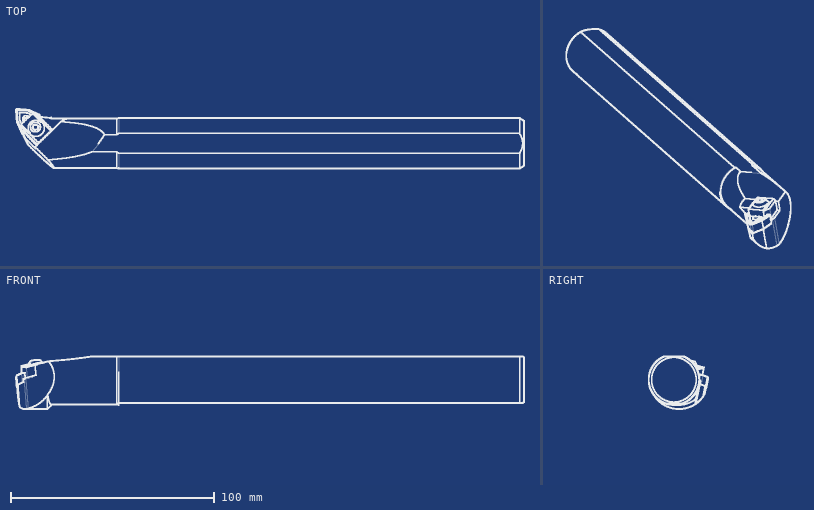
import cadquery as cq
import math

BAR_LENGTH = 250.0
SHANK_RADIUS = 12.5
NECK_RADIUS = 12.2
SHANK_START = 50.5
NECK_TAPER = 0.8
FLAT_HEIGHT = 11.5
END_CHAMFER_LENGTH = 2.2
END_CHAMFER_DEPTH = 1.5

HEAD_RADIUS = 14.5
HEAD_OFFSET_Y = 2.5
HEAD_END = 17.5
HEAD_CHAMFER = 2.0

INSERT_INCIRCLE = 9.5
INSERT_THICKNESS = 4.8
INSERT_TIP_ANGLE = 80.0
INSERT_TIP_RADIUS = 0.8
INSERT_HOLE_RADIUS = 1.8
INSERT_HEIGHT = 2.2
TIP_REACH_Y = 17.0
GROOVE_DEPTH = 0.2
GROOVE_OUTER_SCALE = 0.88
GROOVE_INNER_SCALE = 0.65

SLOPE_X = 0.08
SLOPE_Y = 0.2

WALL_U = 13.5
LEDGE_DEPTH = 3.2
CLEARANCE = 0.2
BACK_FACE_V = -6.8
NEAR_SIDE_CORNER = (4.5, -6.2)
FACET_END_U = 6.2
FAR_SIDE_CORNER = (7.5, 9.2)

SCOOP_HEIGHT = 1.88
SCOOP_LENGTH = 50.0
SCOOP_RISE = 6.0
SCOOP_FLAT_START = 20.0
SCOOP_FLAT_END = 35.0

CLAMP_HALF_WIDTH = 5.2
CLAMP_HEIGHT = 3.2
CLAMP_CHAMFER = 1.0
CLAMP_SHOULDER_U = 5.8
NOSE_U = 1.0
NOSE_HALF_WIDTH = 4.0
NOSE_HEIGHT = 4.0
SCREW_U = 7.2
SCREW_RADIUS = 4.2
SCREW_TOP_RADIUS = 2.5
SCREW_TOP = 5.8
SOCKET_DIAMETER = 3.0
SOCKET_DEPTH = 1.5

REACH = 50.0

SEAT_NORMAL = cq.Vector(-SLOPE_X, SLOPE_Y, 1).normalized()
AWAY_FROM_TIP = cq.Vector(1, -1, SLOPE_X + SLOPE_Y).normalized()
ALONG_BAR = cq.Vector(1, 0, SLOPE_X).normalized()

HALF_TIP_ANGLE = math.radians(INSERT_TIP_ANGLE / 2)
TIP_ROUND_DISTANCE = (INSERT_INCIRCLE / 2 - INSERT_TIP_RADIUS) / math.sin(HALF_TIP_ANGLE)
TIP_ROUND_SPAN_X = INSERT_TIP_RADIUS * math.sqrt(1 - SEAT_NORMAL.x ** 2)
TIP_ROUND_SPAN_Y = INSERT_TIP_RADIUS * math.sqrt(1 - SEAT_NORMAL.y ** 2)
INSERT_CENTRE = cq.Vector(
    TIP_ROUND_DISTANCE * AWAY_FROM_TIP.x + TIP_ROUND_SPAN_X,
    TIP_REACH_Y + TIP_ROUND_DISTANCE * AWAY_FROM_TIP.y - TIP_ROUND_SPAN_Y,
    INSERT_HEIGHT,
)
SEAT = cq.Plane(INSERT_CENTRE, AWAY_FROM_TIP, SEAT_NORMAL)
SCOOP_PLANE = cq.Plane(INSERT_CENTRE, ALONG_BAR, ALONG_BAR.cross(SEAT_NORMAL))


def seat_at(height):
    """Workplane parallel to the insert's top face, at a height above it."""
    return cq.Workplane(SEAT).workplane(offset=height)


def trigon_points(scale=1.0):
    """Six corners, tips and blunt corners in turn, starting at the cutting tip."""
    inradius = scale * INSERT_INCIRCLE / 2
    half_blunt_angle = math.radians(120) - HALF_TIP_ANGLE
    points = []
    for corner in range(6):
        radius = inradius / math.sin(HALF_TIP_ANGLE if corner % 2 == 0 else half_blunt_angle)
        angle = math.radians(180 + 60 * corner)
        points.append((radius * math.cos(angle), radius * math.sin(angle)))
    return points


def trigon_prism(bottom, height, scale=1.0):
    return seat_at(bottom).polyline(trigon_points(scale)).close().extrude(height)


def is_tip_edge(edge):
    """True for the three sharp corners, which lie well outside the inscribed circle."""
    distance = (edge.Center() - INSERT_CENTRE).cross(SEAT_NORMAL).Length
    return distance > TIP_ROUND_DISTANCE


def insert_blank():
    """Insert without hole or grooves; it also shapes the seat it lies in."""
    blank = trigon_prism(-INSERT_THICKNESS, INSERT_THICKNESS)
    upright_edges = blank.edges(cq.selectors.ParallelDirSelector(SEAT_NORMAL))
    tip_edges = upright_edges.filter(is_tip_edge)
    return tip_edges.fillet(INSERT_TIP_RADIUS)


def make_insert():
    groove = trigon_prism(-GROOVE_DEPTH, GROOVE_DEPTH, GROOVE_OUTER_SCALE).cut(
        trigon_prism(-GROOVE_DEPTH, GROOVE_DEPTH, GROOVE_INNER_SCALE))
    hole = seat_at(-INSERT_THICKNESS).circle(INSERT_HOLE_RADIUS).extrude(INSERT_THICKNESS)
    return insert_blank().cut(groove).cut(hole)


def make_bar():
    profile = [
        (0, 0),
        (0, NECK_RADIUS),
        (SHANK_START - NECK_TAPER, NECK_RADIUS),
        (SHANK_START, SHANK_RADIUS),
        (BAR_LENGTH - END_CHAMFER_LENGTH, SHANK_RADIUS),
        (BAR_LENGTH, SHANK_RADIUS - END_CHAMFER_DEPTH),
        (BAR_LENGTH, 0),
    ]
    bar = cq.Workplane("XY").polyline(profile).close().revolve(360, (0, 0), (1, 0))
    head = (cq.Workplane("YZ").center(HEAD_OFFSET_Y, 0).circle(HEAD_RADIUS).extrude(HEAD_END)
            .faces(">X").chamfer(HEAD_CHAMFER))
    return bar.union(head)


def flats():
    """Flat along the whole top, and one below the shank only."""
    top = cq.Workplane("XY").workplane(offset=FLAT_HEIGHT).rect(3 * BAR_LENGTH, REACH).extrude(REACH)
    bottom = (cq.Workplane("XY").box(BAR_LENGTH, REACH, REACH, centered=(False, True, False))
              .translate((SHANK_START, 0, -FLAT_HEIGHT - REACH)))
    return top.union(bottom)


def head_clearance():
    """Material outside the head outline, which runs just inside the insert's cutting edges."""
    inset = 1 - CLEARANCE / (INSERT_INCIRCLE / 2)
    tip, near_blunt, _, _, far_tip, far_blunt = trigon_points(inset)
    outline = [
        (REACH, -REACH),
        (REACH, BACK_FACE_V),
        (FACET_END_U, BACK_FACE_V),
        NEAR_SIDE_CORNER,
        near_blunt,
        tip,
        far_blunt,
        far_tip,
        FAR_SIDE_CORNER,
        (FAR_SIDE_CORNER[0], REACH),
        (-REACH, REACH),
        (-REACH, -REACH),
    ]
    return seat_at(-REACH).polyline(outline).close().extrude(2 * REACH)


def chip_scoop():
    """Cut that is nearly flat behind the clamp and curves up smoothly towards the shank."""
    floor_curve = [
        (0, SCOOP_HEIGHT),
        (SCOOP_FLAT_START, SCOOP_HEIGHT),
        (SCOOP_FLAT_END, SCOOP_HEIGHT),
        (SCOOP_LENGTH, SCOOP_HEIGHT + SCOOP_RISE),
    ]
    return (cq.Workplane(SCOOP_PLANE)
            .moveTo(-REACH, SCOOP_HEIGHT)
            .lineTo(0, SCOOP_HEIGHT)
            .bezier(floor_curve)
            .lineTo(SCOOP_LENGTH, REACH)
            .lineTo(-REACH, REACH)
            .close()
            .extrude(REACH, both=True))


def clamp_ledge():
    return (seat_at(-LEDGE_DEPTH).center(WALL_U - REACH / 2, 0)
            .rect(REACH, 2 * REACH).extrude(REACH))


def clamp():
    outline = [
        (WALL_U, -CLAMP_HALF_WIDTH),
        (CLAMP_SHOULDER_U, -CLAMP_HALF_WIDTH),
        (NOSE_U, -NOSE_HALF_WIDTH),
        (NOSE_U, NOSE_HALF_WIDTH),
        (CLAMP_SHOULDER_U, CLAMP_HALF_WIDTH),
        (WALL_U, CLAMP_HALF_WIDTH),
    ]
    body = seat_at(-LEDGE_DEPTH).polyline(outline).close().extrude(LEDGE_DEPTH + CLAMP_HEIGHT)
    top_edges = body.faces(cq.selectors.DirectionMinMaxSelector(SEAT_NORMAL)).edges()
    body = top_edges.edges(cq.selectors.ParallelDirSelector(AWAY_FROM_TIP)).chamfer(CLAMP_CHAMFER)
    nose = (seat_at(0).center((NOSE_U + SCREW_U) / 2, 0)
            .rect(SCREW_U - NOSE_U, 2 * NOSE_HALF_WIDTH).extrude(NOSE_HEIGHT))
    screw = (seat_at(CLAMP_HEIGHT).center(SCREW_U, 0).circle(SCREW_RADIUS)
             .workplane(offset=SCREW_TOP - CLAMP_HEIGHT).circle(SCREW_TOP_RADIUS).loft())
    socket = (seat_at(SCREW_TOP).center(SCREW_U, 0)
              .polygon(6, SOCKET_DIAMETER).extrude(-SOCKET_DEPTH))
    return body.union(nose).union(screw).cut(socket)


def make_holder():
    holder = make_bar().cut(flats()).cut(head_clearance()).cut(chip_scoop()).cut(clamp_ledge())
    return holder.union(clamp()).cut(insert_blank())


holder = make_holder()
insert = make_insert()

result = cq.Compound.makeCompound([holder.val(), insert.val()])